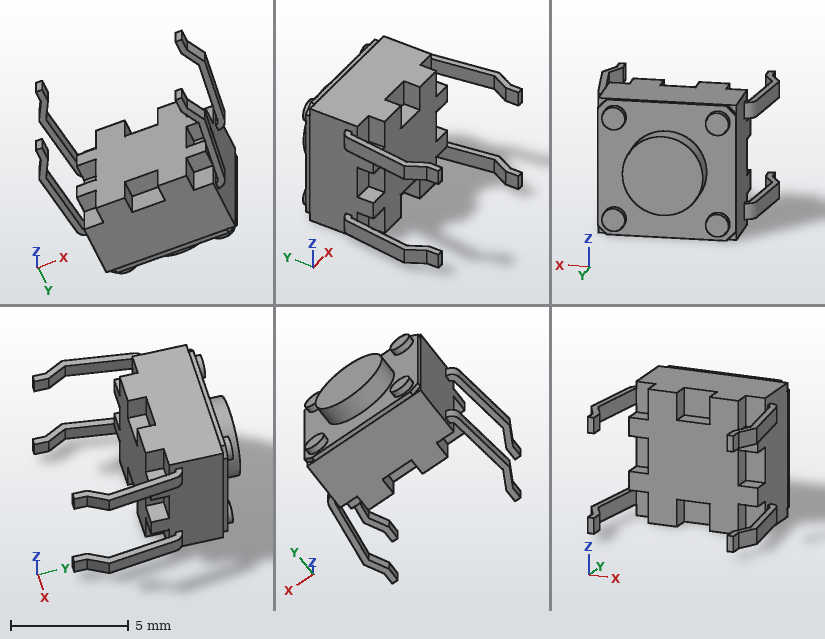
import cadquery as cq
import math


SIDE = 6.0
HOUSING_HEIGHT = 3.2

RECESS_HEIGHT = 0.8
SIDE_RECESS_DEPTH = 0.9
CORNER_RECESS_LENGTH = 1.37
SIDE_RECESS_LENGTH = 1.58
END_RECESS_DEPTH = 1.225
END_RECESS_LENGTH = 1.53

COVER_THICKNESS = 0.2
COVER_CHAMFER = 0.4
BUTTON_RADIUS = 1.75
BUTTON_HEIGHT = 0.9
STUD_RADIUS = 0.5
STUD_HEIGHT = 0.3
STUD_OFFSET = 2.255

LEAD_THICKNESS = 0.3
LEAD_WIDTH = 0.71
LEAD_OFFSET = 2.25
BEND_RADIUS = 0.29
BEND_X = 3.01
BEND_Y = 0.935
SHOULDER_SLOPE = 14.0
LEG_LEAN = 7.6
KNEE_Y = -2.04
FOOT_X = 3.245
ANKLE_Y = -2.89
TIP_Y = -3.5
LEAD_ROOT = 0.235


def make_block(x_size, height, z_size):
    """Box standing on Y = 0, centred on X and Z."""
    return cq.Workplane("XY").box(x_size, height, z_size, centered=(True, False, True))


def make_cylinder(radius, height, base_y):
    """Cylinder rising along +Y from base_y."""
    return cq.Workplane("XZ", origin=(0, base_y, 0)).circle(radius).extrude(-height)


def cut_floor_recesses(body):
    """Open a recess at every corner and at the middle of every side of the floor."""
    half = SIDE / 2
    corner = make_block(2 * SIDE_RECESS_DEPTH, RECESS_HEIGHT, 2 * CORNER_RECESS_LENGTH)
    side = make_block(2 * SIDE_RECESS_DEPTH, RECESS_HEIGHT, SIDE_RECESS_LENGTH)
    end = make_block(END_RECESS_LENGTH, RECESS_HEIGHT, 2 * END_RECESS_DEPTH)
    for sign in (-1, 1):
        body = body.cut(side.translate((sign * half, 0, 0)))
        body = body.cut(end.translate((0, 0, sign * half)))
        for z_sign in (-1, 1):
            body = body.cut(corner.translate((sign * half, 0, z_sign * half)))
    return body


def bend_point(angle):
    """Point on the middle line of the lead bend, angle in degrees from +X."""
    turn = math.radians(angle)
    return (BEND_X + BEND_RADIUS * math.cos(turn), BEND_Y + BEND_RADIUS * math.sin(turn))


def make_lead():
    """Lead on the +X side at Z = 0: flat strip swept from its tip up into the housing wall."""
    bend_bottom_angle = LEG_LEAN
    bend_top_angle = 90 - SHOULDER_SLOPE
    bend_bottom = bend_point(bend_bottom_angle)
    bend_middle = bend_point((bend_bottom_angle + bend_top_angle) / 2)
    bend_top = bend_point(bend_top_angle)
    knee_x = bend_bottom[0] + (bend_bottom[1] - KNEE_Y) * math.tan(math.radians(LEG_LEAN))
    slope = math.radians(SHOULDER_SLOPE)
    root = (bend_top[0] - LEAD_ROOT * math.cos(slope), bend_top[1] + LEAD_ROOT * math.sin(slope))
    path = (
        cq.Workplane("XY")
        .moveTo(FOOT_X, TIP_Y)
        .lineTo(FOOT_X, ANKLE_Y)
        .lineTo(knee_x, KNEE_Y)
        .lineTo(*bend_bottom)
        .threePointArc(bend_middle, bend_top)
        .lineTo(*root)
    )
    section = cq.Workplane("XZ", origin=(FOOT_X, TIP_Y, 0)).rect(LEAD_THICKNESS, LEAD_WIDTH)
    return section.sweep(path, transition="right")


def make_housing():
    """Housing with its four leads."""
    body = cut_floor_recesses(make_block(SIDE, HOUSING_HEIGHT, SIDE))
    right_lead = make_lead()
    left_lead = right_lead.mirror("YZ")
    for z in (-LEAD_OFFSET, LEAD_OFFSET):
        body = body.union(right_lead.translate((0, 0, z)))
        body = body.union(left_lead.translate((0, 0, z)))
    return body


def make_cover():
    """Cover plate with chamfered corners, four studs and the round button."""
    plate = make_block(SIDE, COVER_THICKNESS, SIDE).edges("|Y").chamfer(COVER_CHAMFER)
    plate = plate.translate((0, HOUSING_HEIGHT, 0))
    top_y = HOUSING_HEIGHT + COVER_THICKNESS
    stud = make_cylinder(STUD_RADIUS, STUD_HEIGHT, top_y)
    cover = plate.union(make_cylinder(BUTTON_RADIUS, BUTTON_HEIGHT, top_y))
    for x in (-STUD_OFFSET, STUD_OFFSET):
        for z in (-STUD_OFFSET, STUD_OFFSET):
            cover = cover.union(stud.translate((x, 0, z)))
    return cover


housing = make_housing()
cover = make_cover()
result = cq.Compound.makeCompound([housing.solids().val(), cover.solids().val()])